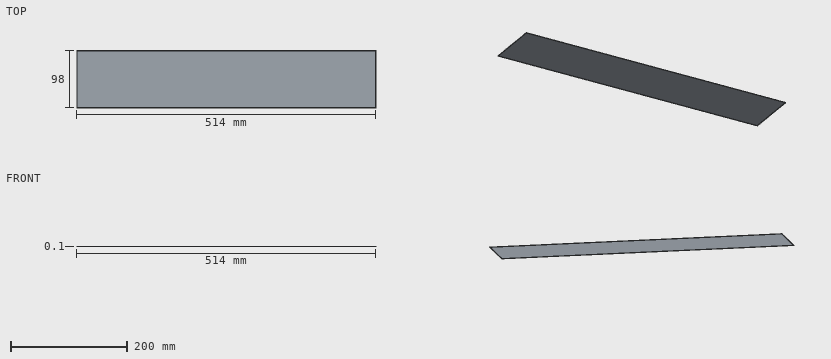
import cadquery as cq

length = 514.0
width = 98.0
thickness = 0.1

result = cq.Workplane("XY").box(length, width, thickness)